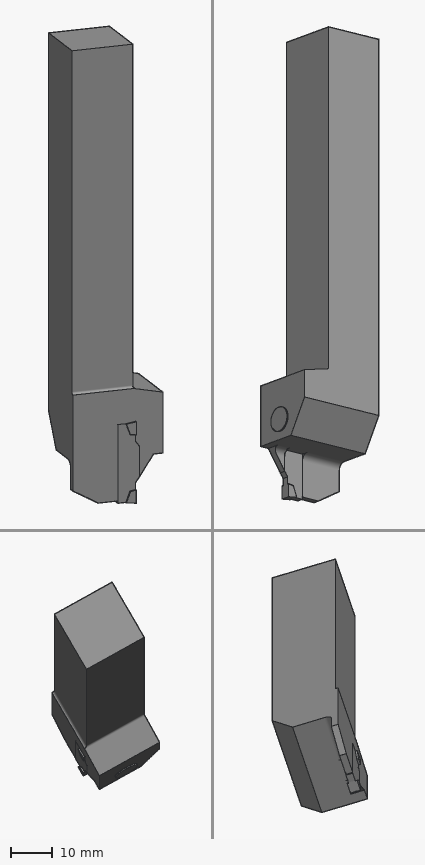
import cadquery as cq

total_height = 114.3
shank_x = 15.9
shank_y = 15.5
shank_root_radius = 0.6

head_x = 16.6
head_y = 23.0
step_z = 28.6
shoulder_z = 26.9
head_bottom_z = 11.7
bevel_top_z = 20.0
bevel_x = 5.1

blade_x = 14.9
blade_root_radius = 1.7
blade_bottom_z = 0.9
blade_front_corner_z = 4.6
blade_bottom_front_y = 6.4
blade_back_y = 20.6

boss_diameter = 6.1
boss_x = 9.3
boss_z = 16.7
boss_height = 0.3

insert_length = 20.3
insert_front_y = 11.4
insert_back_y = 16.9
cutting_edge_y = 16.0
rake_end_z = 5.0
back_slope_end_z = 6.3
end_relief = 0.3
tip_x_min = 14.5
tip_x_max = 17.0
tip_front_y = 13.5
tip_shoulder_y = 14.5
tip_shoulder_z = 3.1
tip_top_z = 3.3


def extrude_along_x(outline, x_min, x_max):
    """Extrude a closed Y-Z outline between two X positions."""
    return cq.Workplane("YZ", origin=(x_min, 0, 0)).polyline(outline).close().extrude(x_max - x_min)


def make_insert():
    lower_back = [
        (insert_front_y, end_relief),
        (tip_front_y, end_relief),
        (cutting_edge_y, 0),
        (cutting_edge_y, rake_end_z),
        (insert_back_y, back_slope_end_z),
    ]
    upper_back = [(y, insert_length - z) for y, z in reversed(lower_back)]
    bar = extrude_along_x(lower_back + upper_back, blade_x, head_x)

    lower_tip = extrude_along_x(
        [
            (tip_front_y, end_relief),
            (cutting_edge_y, 0),
            (cutting_edge_y, tip_top_z),
            (tip_shoulder_y, tip_shoulder_z),
        ],
        tip_x_min,
        tip_x_max,
    )
    upper_tip = lower_tip.mirror("XY", (0, 0, insert_length / 2))
    return bar.union(lower_tip).union(upper_tip)


def round_shank_root(profile, root_point):
    """Fillet the inner corner where the shank meets the head."""
    root_edge = cq.selectors.NearestToPointSelector(root_point)
    return profile.edges(root_edge).fillet(shank_root_radius)


def make_shank_and_head():
    """Shank, head and blade: the X-Z outline, trimmed to the Y-Z outline."""
    front_outline = (
        cq.Workplane("XZ")
        .moveTo(0, total_height)
        .lineTo(0, bevel_top_z)
        .lineTo(bevel_x, head_bottom_z)
        .lineTo(blade_x - blade_root_radius, head_bottom_z)
        .radiusArc((blade_x, head_bottom_z - blade_root_radius), blade_root_radius)
        .lineTo(blade_x, blade_bottom_z)
        .lineTo(head_x, blade_bottom_z)
        .lineTo(head_x, step_z)
        .lineTo(shank_x, step_z)
        .lineTo(shank_x, total_height)
        .close()
        .extrude(-head_y)
    )
    front_outline = round_shank_root(front_outline, (shank_x, head_y / 2, step_z))

    back_slope = (blade_back_y - insert_back_y) / (head_bottom_z - back_slope_end_z)
    blade_bottom_back_y = insert_back_y - back_slope * (back_slope_end_z - blade_bottom_z)
    side_outline = extrude_along_x(
        [
            (0, total_height),
            (0, blade_front_corner_z),
            (blade_bottom_front_y, blade_bottom_z),
            (blade_bottom_back_y, blade_bottom_z),
            (blade_back_y, head_bottom_z),
            (head_y, head_bottom_z),
            (head_y, shoulder_z),
            (shank_y, step_z),
            (shank_y, total_height),
        ],
        0,
        head_x,
    )
    side_outline = round_shank_root(side_outline, (head_x / 2, shank_y, step_z))
    return front_outline.intersect(side_outline)


def make_boss():
    return (
        cq.Workplane("XZ", origin=(boss_x, head_y, boss_z))
        .circle(boss_diameter / 2)
        .extrude(-boss_height)
    )


def make_insert_slot():
    """Open slot through the blade and its root, as wide as the insert."""
    width = insert_back_y - insert_front_y
    return cq.Workplane("XY", origin=(0, insert_front_y, 0)).box(
        head_x, width, head_bottom_z, centered=False
    )


insert = make_insert()
holder = make_shank_and_head().union(make_boss()).cut(make_insert_slot()).cut(insert)

result = cq.Compound.makeCompound([holder.solids().val(), insert.solids().val()])